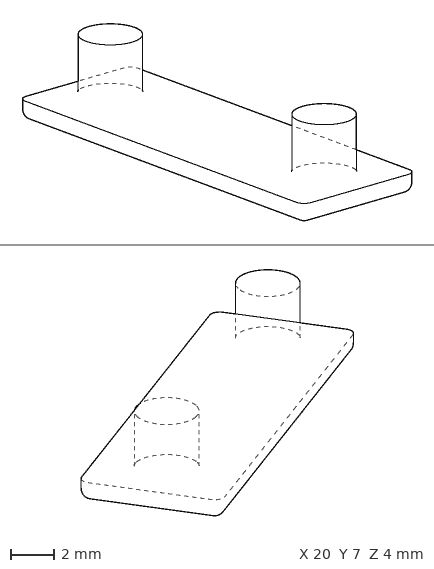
import cadquery as cq

plate_length = 20
plate_width = 7
plate_thickness = 1
edge_radius = plate_thickness / 2

peg_diameter = 3
peg_height = 3
peg_spacing = 15
peg_root_radius = edge_radius / 2


def make_plate():
    """Plate with rounded corners and a rounded bottom rim; its top face is at Z = plate_thickness."""
    plate = cq.Workplane("XY").box(
        plate_length, plate_width, plate_thickness, centered=(True, True, False)
    )
    return plate.edges("|Z").fillet(edge_radius).faces("<Z").edges().fillet(edge_radius)


def add_pegs(plate):
    """Add two round pegs and blend their roots into the plate's top face."""
    pegs = (
        cq.Workplane("XY", origin=(0, 0, plate_thickness))
        .rarray(peg_spacing, 0.2, 2, 1)
        .circle(peg_diameter / 2)
        .extrude(peg_height)
    )
    body = plate.union(pegs)
    top_face = body.faces(cq.selectors.NearestToPointSelector((0, 0, plate_thickness)))
    return top_face.edges("%CIRCLE").edges(cq.selectors.RadiusNthSelector(-1)).fillet(peg_root_radius)


result = add_pegs(make_plate())